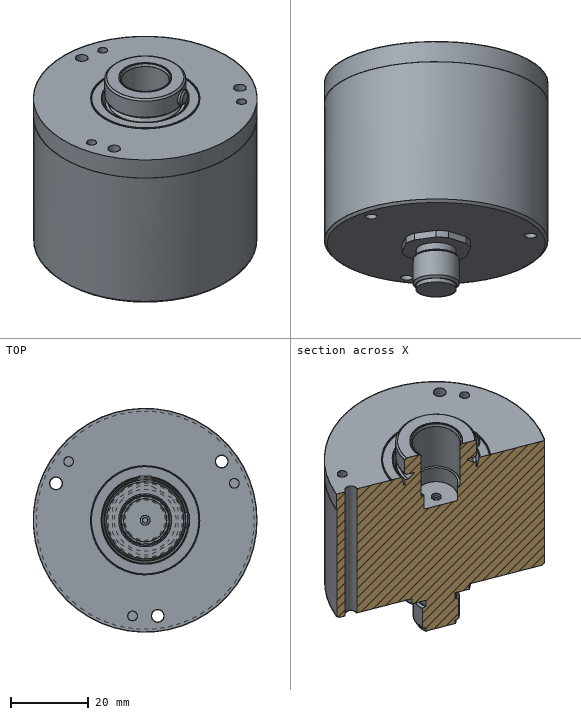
import cadquery as cq
import math


FLANGE_RADIUS = 29.0
FLANGE_THICKNESS = 5.65
BODY_RADIUS = 28.95
BODY_BOTTOM = -44.7
BODY_CHAMFER = 0.7

HOLE_CIRCLE_RADIUS = 25.0
HOLE_COUNT = 3
THROUGH_HOLE_DIAMETER = 3.2
THROUGH_HOLE_ANGLE = 37.5
BLIND_HOLE_DIAMETER = 2.5
BLIND_HOLE_ANGLE = 22.5
BLIND_HOLE_DEPTH = FLANGE_THICKNESS

RING_GROOVE_RADIUS = 14.15
RING_GROOVE_WIDTH = 0.25
RING_GROOVE_DEPTH = 0.25
WELL_RADIUS = 11.4
WELL_LIP_DEPTH = 0.1
WELL_CONE_RADIUS = 11.15
WELL_FLOOR_RADIUS = 10.6
WELL_DEPTH = 3.0

COLLAR_RADIUS = 10.5
COLLAR_BOTTOM = 0.4
COLLAR_TOP = 6.5
COLLAR_TOP_CHAMFER = 0.5
COLLAR_BOTTOM_CHAMFER = 0.6
HUB_RADIUS = 10.4
HUB_TOP = -1.2
CONE_BASE_RADIUS = 9.6
CONE_TOP_RADIUS = CONE_BASE_RADIUS - (COLLAR_BOTTOM - HUB_TOP)

BORE_RECESS_RADIUS = 6.85
BORE_RECESS_DEPTH = 0.1
BORE_MOUTH_RADIUS = 6.5
BORE_RADIUS = 6.2
BORE_MOUTH_CONE_DEPTH = 0.7
BORE_DEPTH = 15.0
BORE_END_RADIUS = 5.6
BORE_END_LENGTH = 5.0
CENTRE_RECESS_RADIUS = 1.25
CENTRE_HOLE_RADIUS = 0.7
CENTRE_STEP_DEPTH = 1.0

SCREW_DIAMETER = 4.0
SCREW_REACH = 11.5
SCREW_LENGTH = 3.0
SCREW_CHAMFER = 0.5
SCREW_ANGLES = (0, 90)

NUT_ACROSS_FLATS = 17.0
NUT_CORNER_DIAMETER = 18.0
NUT_HEIGHT = 1.87
CONNECTOR_BOTTOM = COLLAR_TOP - 64.1
CONNECTOR_NECK_RADIUS = 5.2
CONNECTOR_THREAD_RADIUS = 6.0
THREAD_TOP = -48.5
THREAD_BOTTOM = -56.5
THREAD_CHAMFER = 0.6


def cylinder(radius, bottom, top):
    """Cylinder on the Z axis between two heights."""
    return cq.Workplane("XY").workplane(offset=bottom).circle(radius).extrude(top - bottom)


def cone(bottom_radius, top_radius, bottom, top):
    """Cone frustum on the Z axis between two heights."""
    profile = [(0, bottom), (bottom_radius, bottom), (top_radius, top), (0, top)]
    return cq.Workplane("XZ").polyline(profile).close().revolve(360, (0, 0), (0, 1))


def flange_holes(diameter, start_angle, depth):
    """Equally spaced hole cutters going down from the flange face."""
    return (
        cq.Workplane("XY")
        .polarArray(HOLE_CIRCLE_RADIUS, start_angle, 360, HOLE_COUNT)
        .circle(diameter / 2)
        .extrude(-depth)
    )


def make_well():
    """Cutter for the well: a shallow lip above a wall that tapers in towards the floor."""
    lip = cylinder(WELL_RADIUS, -WELL_LIP_DEPTH, 0)
    return lip.union(cone(WELL_FLOOR_RADIUS, WELL_CONE_RADIUS, -WELL_DEPTH, -WELL_LIP_DEPTH))


def make_housing():
    can = cylinder(BODY_RADIUS, BODY_BOTTOM, -FLANGE_THICKNESS).faces("<Z").chamfer(BODY_CHAMFER)
    housing = can.union(cylinder(FLANGE_RADIUS, -FLANGE_THICKNESS, 0))
    ring_groove = cylinder(RING_GROOVE_RADIUS, -RING_GROOVE_DEPTH, 0).cut(
        cylinder(RING_GROOVE_RADIUS - RING_GROOVE_WIDTH, -RING_GROOVE_DEPTH, 0)
    )
    return (
        housing.cut(ring_groove)
        .cut(make_well())
        .cut(flange_holes(THROUGH_HOLE_DIAMETER, THROUGH_HOLE_ANGLE, -BODY_BOTTOM))
        .cut(flange_holes(BLIND_HOLE_DIAMETER, BLIND_HOLE_ANGLE, BLIND_HOLE_DEPTH))
    )


def make_set_screw(angle):
    screw = (
        cq.Workplane("YZ")
        .workplane(offset=SCREW_REACH - SCREW_LENGTH)
        .center(0, (COLLAR_BOTTOM + COLLAR_TOP) / 2)
        .circle(SCREW_DIAMETER / 2)
        .extrude(SCREW_LENGTH)
        .faces(">X")
        .chamfer(SCREW_CHAMFER)
    )
    return screw.rotate((0, 0, 0), (0, 0, 1), angle)


def make_shaft():
    collar = (
        cylinder(COLLAR_RADIUS, COLLAR_BOTTOM, COLLAR_TOP)
        .faces(">Z")
        .chamfer(COLLAR_TOP_CHAMFER)
        .faces("<Z")
        .chamfer(COLLAR_BOTTOM_CHAMFER)
    )
    shaft = (
        cylinder(HUB_RADIUS, -WELL_DEPTH, HUB_TOP)
        .union(cone(CONE_BASE_RADIUS, CONE_TOP_RADIUS, HUB_TOP, COLLAR_BOTTOM))
        .union(collar)
    )
    for angle in SCREW_ANGLES:
        shaft = shaft.union(make_set_screw(angle))
    return shaft


def make_bore():
    """Cutter for the shaft bore, from the collar top down to the small centre hole."""
    mouth_top = COLLAR_TOP - BORE_RECESS_DEPTH
    mouth_bottom = mouth_top - BORE_MOUTH_CONE_DEPTH
    step = COLLAR_TOP - BORE_DEPTH
    floor = step - BORE_END_LENGTH
    centre_step = floor - CENTRE_STEP_DEPTH
    return (
        cylinder(BORE_RECESS_RADIUS, mouth_top, COLLAR_TOP)
        .union(cone(BORE_RADIUS, BORE_MOUTH_RADIUS, mouth_bottom, mouth_top))
        .union(cylinder(BORE_RADIUS, step, mouth_bottom))
        .union(cylinder(BORE_END_RADIUS, floor, step))
        .union(cylinder(CENTRE_RECESS_RADIUS, centre_step, floor))
        .union(cylinder(CENTRE_HOLE_RADIUS, centre_step - CENTRE_STEP_DEPTH, centre_step))
    )


def make_connector():
    nut_bottom = BODY_BOTTOM - NUT_HEIGHT
    hexagon = (
        cq.Workplane("XY")
        .workplane(offset=nut_bottom)
        .polygon(6, NUT_ACROSS_FLATS / math.cos(math.pi / 6))
        .extrude(NUT_HEIGHT)
        .rotate((0, 0, 0), (0, 0, 1), 30)
    )
    nut = hexagon.intersect(cylinder(NUT_CORNER_DIAMETER / 2, nut_bottom, BODY_BOTTOM))
    thread = (
        cylinder(CONNECTOR_THREAD_RADIUS, THREAD_BOTTOM, THREAD_TOP)
        .faces("<Z or >Z")
        .chamfer(THREAD_CHAMFER)
    )
    neck = cylinder(CONNECTOR_NECK_RADIUS, CONNECTOR_BOTTOM, nut_bottom)
    return nut.union(neck).union(thread)


result = make_housing().union(make_shaft()).cut(make_bore()).union(make_connector())